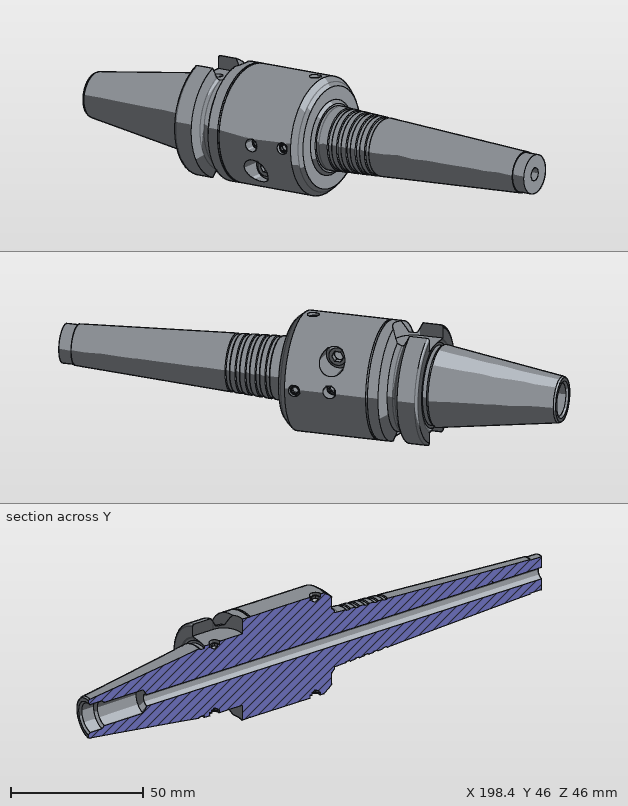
import cadquery as cq
import math


GAUGE_DIA = 31.75
TAPER_LENGTH = 48.4
TAPER_RATE = 7 / 24
SHANK_END_CHAMFER = 0.8
SHANK_END_STEP = 0.3
RELIEF_START = 0.8
RELIEF_RADIUS = 15.3
FACE_RECESS_RADIUS = 17.5
FACE_RECESS_INNER_RADIUS = 16.4
FACE_RECESS_DEPTH = 0.4

BODY_RADIUS = 23.0
FLANGE_START = 2.0
FLANGE_FILLET = 1.0
V_GROOVE_CENTRE = 13.75
V_GROOVE_ROOT_RADIUS = 19.0
V_GROOVE_ROOT_WIDTH = 3.0
V_GROOVE_FILLET = 1.5
V_GROOVE_HALF_ANGLE = 30
SEAM_START = 21.8
SEAM_WIDTH = 0.7
SEAM_DEPTH = 0.1
BODY_END = 58.3
BODY_CHAMFER = 3.5
BODY_EDGE_LENGTH = 1.3
BODY_EDGE_RADIUS = 21.2
BODY_FACE_RADIUS = 19.8

COLLAR_RADIUS = 14.6
COLLAR_END = 59.5
COLLAR_END_RADIUS = 13.2
NOSE_START = 60.7
TOTAL_END = 150.0
TIP_LENGTH = 5.0
TIP_RADIUS = 7.6
NOSE_TIP_RADIUS = 7.95
NOSE_HALF_ANGLE = 3
NOSE_GROOVE_COUNT = 5
NOSE_GROOVE_START = 64.3
NOSE_GROOVE_PITCH = 4.05
NOSE_GROOVE_WIDTH = 2.0
NOSE_GROOVE_FLOOR_WIDTH = 1.3
NOSE_GROOVE_DEPTH = 0.4

THROUGH_DIA = 5.0
MOUTH_DIA = 14.2
PILOT_DIA = 12.5
PILOT_DEPTH = 6.0
THREAD_DIA = 10.4
THREAD_DEPTH = 24.0
THREAD_LEAD_IN = (PILOT_DIA - THREAD_DIA) / 2
MOUTH_CHAMFER_DEPTH = (MOUTH_DIA - PILOT_DIA) / 2
DRILL_POINT_HALF_ANGLE = 59

SLOT_WIDTH = 16.1
SLOT_FLOOR = 16.3
SLOT_END = 19.0

HEX_SIDES = 6
SLOT_SCREW_HEX = 2.31
SMALL_HEX_DEPTH = 1.2
BODY_SCREW_HEX = 2.89
CLAMP_HEX = 4.62
CLAMP_HEX_DEPTH = 2.5

SCREW_RECESS = 1.0
SMALL_SCREW_CHAMFER = 0.6
SLOT_SCREW_DIA = 4.1
SLOT_SCREW_X = 6.9
BODY_SCREW_DIA = 4.5
BODY_SCREW_X = 51.0

CROSS_SCREW_X = 37.0
CLAMP_OFFSET = 12.0
CLAMP_DIA = 10.0
CLAMP_SEAT = 13.0
CLAMP_CHAMFER = 1.5
PIN_SCREW_DIA = 5.0
PIN_SCREW_OFFSET = 1.0
PIN_SCREW_SEAT = 19.0

PICK_MARGIN = 0.1


def taper_radius(x):
    return GAUGE_DIA / 2 + x * TAPER_RATE / 2


def nose_radius(x):
    return NOSE_TIP_RADIUS + (TOTAL_END - TIP_LENGTH - x) * math.tan(math.radians(NOSE_HALF_ANGLE))


def revolved(points):
    return cq.Workplane("XY").polyline(points).close().revolve(360, (0, 0, 0), (1, 0, 0))


def rim_at(x, radius):
    return cq.selectors.BoxSelector(
        (x - PICK_MARGIN, -radius - PICK_MARGIN, -radius - PICK_MARGIN),
        (x + PICK_MARGIN, radius + PICK_MARGIN, radius + PICK_MARGIN),
        boundingbox=True,
    )


def holder_blank():
    chamfer_x = SHANK_END_CHAMFER - TAPER_LENGTH
    root_half = V_GROOVE_ROOT_WIDTH / 2
    flank = (BODY_RADIUS - V_GROOVE_ROOT_RADIUS) * math.tan(math.radians(V_GROOVE_HALF_ANGLE))
    seam_radius = BODY_RADIUS - SEAM_DEPTH
    seam_end = SEAM_START + SEAM_WIDTH
    tip_start = TOTAL_END - TIP_LENGTH
    points = [
        (-TAPER_LENGTH, 0),
        (-TAPER_LENGTH, taper_radius(-TAPER_LENGTH) - SHANK_END_STEP),
        (chamfer_x, taper_radius(chamfer_x)),
        (0, GAUGE_DIA / 2),
        (RELIEF_START, RELIEF_RADIUS),
        (FLANGE_START + FACE_RECESS_DEPTH, RELIEF_RADIUS),
        (FLANGE_START + FACE_RECESS_DEPTH, FACE_RECESS_INNER_RADIUS),
        (FLANGE_START, FACE_RECESS_RADIUS),
        (FLANGE_START, BODY_RADIUS),
        (V_GROOVE_CENTRE - root_half - flank, BODY_RADIUS),
        (V_GROOVE_CENTRE - root_half, V_GROOVE_ROOT_RADIUS),
        (V_GROOVE_CENTRE + root_half, V_GROOVE_ROOT_RADIUS),
        (V_GROOVE_CENTRE + root_half + flank, BODY_RADIUS),
        (SEAM_START, BODY_RADIUS),
        (SEAM_START, seam_radius),
        (seam_end, seam_radius),
        (seam_end, BODY_RADIUS),
        (BODY_END - BODY_CHAMFER, BODY_RADIUS),
        (BODY_END - BODY_EDGE_LENGTH, BODY_EDGE_RADIUS),
        (BODY_END, BODY_FACE_RADIUS),
        (BODY_END, COLLAR_RADIUS),
        (COLLAR_END, COLLAR_END_RADIUS),
        (COLLAR_END, nose_radius(NOSE_START)),
        (NOSE_START, nose_radius(NOSE_START)),
        (tip_start, NOSE_TIP_RADIUS),
        (tip_start, TIP_RADIUS),
        (TOTAL_END, TIP_RADIUS),
        (TOTAL_END, 0),
    ]
    blank = revolved(points)
    blank = blank.edges(rim_at(FLANGE_START, BODY_RADIUS)).fillet(FLANGE_FILLET)
    root_rim = rim_at(V_GROOVE_CENTRE - root_half, V_GROOVE_ROOT_RADIUS)
    return blank.edges(root_rim).fillet(V_GROOVE_FILLET)


def nose_groove(index):
    start = NOSE_GROOVE_START + index * NOSE_GROOVE_PITCH
    end = start + NOSE_GROOVE_WIDTH
    wall = (NOSE_GROOVE_WIDTH - NOSE_GROOVE_FLOOR_WIDTH) / 2
    points = [
        (start, nose_radius(start)),
        (start + wall, nose_radius(start) - NOSE_GROOVE_DEPTH),
        (end - wall, nose_radius(end) - NOSE_GROOVE_DEPTH),
        (end, nose_radius(end)),
        (end, BODY_RADIUS),
        (start, BODY_RADIUS),
    ]
    return revolved(points)


def axial_bore():
    pilot_end = PILOT_DEPTH - TAPER_LENGTH
    thread_end = THREAD_DEPTH - TAPER_LENGTH
    point_length = (THREAD_DIA - THROUGH_DIA) / 2 / math.tan(math.radians(DRILL_POINT_HALF_ANGLE))
    points = [
        (-TAPER_LENGTH, 0),
        (-TAPER_LENGTH, MOUTH_DIA / 2),
        (MOUTH_CHAMFER_DEPTH - TAPER_LENGTH, PILOT_DIA / 2),
        (pilot_end, PILOT_DIA / 2),
        (pilot_end + THREAD_LEAD_IN, THREAD_DIA / 2),
        (thread_end, THREAD_DIA / 2),
        (thread_end + point_length, THROUGH_DIA / 2),
        (TOTAL_END, THROUGH_DIA / 2),
        (TOTAL_END, 0),
    ]
    return revolved(points)


def drive_slot():
    end_radius = SLOT_WIDTH / 2
    straight_end = SLOT_END - end_radius
    return (
        cq.Workplane("XY", origin=(0, 0, SLOT_FLOOR))
        .moveTo(FLANGE_START, -end_radius)
        .lineTo(straight_end, -end_radius)
        .threePointArc((SLOT_END, 0), (straight_end, end_radius))
        .lineTo(FLANGE_START, end_radius)
        .close()
        .extrude(BODY_RADIUS)
    )


def hex_socket(across_corners, depth):
    prism = cq.Workplane("XY").polygon(HEX_SIDES, across_corners).extrude(-depth)
    inscribed_radius = across_corners / 2 * math.cos(math.pi / HEX_SIDES)
    point_length = inscribed_radius / math.tan(math.radians(DRILL_POINT_HALF_ANGLE))
    point = cq.Solid.makeCone(
        inscribed_radius, 0, point_length, cq.Vector(0, 0, -depth), cq.Vector(0, 0, -1)
    )
    return prism.union(cq.Workplane(point))


def screw_recess(dia, chamfer, across_corners, hex_depth):
    radius = dia / 2
    hole = cq.Workplane("XY").circle(radius).extrude(BODY_RADIUS)
    chamfered_end = cq.Workplane(cq.Solid.makeCone(radius, radius - chamfer, chamfer))
    chamfer_ring = cq.Workplane("XY").circle(radius).extrude(chamfer).cut(chamfered_end)
    socket = hex_socket(across_corners, hex_depth)
    return hole.union(chamfer_ring.translate((0, 0, -chamfer))).union(socket)


def radial_screw(x, dia, across_corners, surface):
    recess = screw_recess(dia, SMALL_SCREW_CHAMFER, across_corners, SMALL_HEX_DEPTH)
    return recess.translate((x, 0, surface - SCREW_RECESS))


def cross_screw(recess, offset, seat):
    return about_axis(recess, 90).translate((CROSS_SCREW_X, -seat, -offset))


def clamp_screw():
    recess = screw_recess(CLAMP_DIA, CLAMP_CHAMFER, CLAMP_HEX, CLAMP_HEX_DEPTH)
    return cross_screw(recess, CLAMP_OFFSET, CLAMP_SEAT)


def pin_screw():
    recess = screw_recess(PIN_SCREW_DIA, SMALL_SCREW_CHAMFER, BODY_SCREW_HEX, SMALL_HEX_DEPTH)
    return cross_screw(recess, PIN_SCREW_OFFSET, PIN_SCREW_SEAT)


def about_axis(shape, angle):
    return shape.rotate((0, 0, 0), (1, 0, 0), angle)


result = holder_blank().cut(axial_bore())

for groove_index in range(NOSE_GROOVE_COUNT):
    result = result.cut(nose_groove(groove_index))

slot_screw = radial_screw(SLOT_SCREW_X, SLOT_SCREW_DIA, SLOT_SCREW_HEX, SLOT_FLOOR)
for feature in (drive_slot(), slot_screw, clamp_screw(), pin_screw()):
    for half_turn in (0, 180):
        result = result.cut(about_axis(feature, half_turn))

body_screw = radial_screw(BODY_SCREW_X, BODY_SCREW_DIA, BODY_SCREW_HEX, BODY_RADIUS)
for quarter_turn in (0, 90, 180, 270):
    result = result.cut(about_axis(body_screw, quarter_turn))